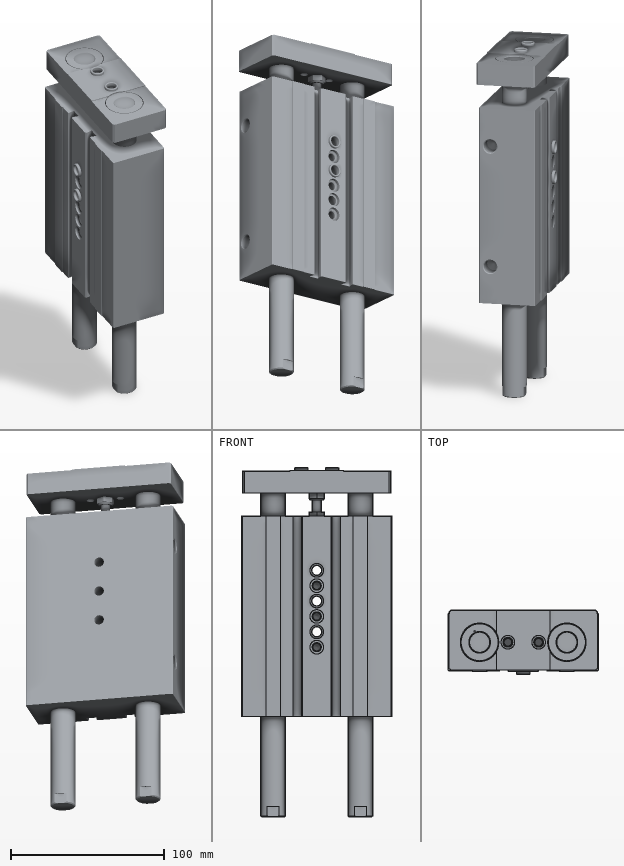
import cadquery as cq
import math


TOTAL_HEIGHT = 227.0
HOUSING_BOTTOM = 65.1
HOUSING_TOP = 195.4
PLATE_BOTTOM = 210.3
PLATE_TOP = 224.6
PLATE_BAND_TOP = 225.0

HOUSING_WIDTH = 98.0
HOUSING_BACK = 18.8
HOUSING_FRONT = -18.5
HOUSING_CHAMFER = 0.7
RAISED_FRONT = -19.0
PAD_WIDTH = 9.5

SLOT_INNER_X = 10.0
SLOT_OUTER_X = 15.5
SLOT_LIP_DEPTH = 1.4
SLOT_DEPTH = 5.0
SLOT_UNDERCUT = 0.7
SLOT_BREAK = 0.7

ROD_X = 28.4
ROD_DIAMETER = 16.0
ROD_TIP_CHAMFER = 0.7
WRENCH_FLAT_WIDTH = 14.0
WRENCH_FLAT_HEIGHT = 6.5
HEAD_DIAMETER = 24.0
HEAD_RECESS_DIAMETER = 25.0
HEAD_HEIGHT = 6.0
DIMPLE_DIAMETER = 14.0
DIMPLE_DEPTH = 0.5

PLATE_WIDTH = 96.2
PLATE_BACK = 20.9
PLATE_FRONT = -18.2
PLATE_CHAMFER = 1.1
PLATE_BAND_WIDTH = 35.0
DRIVE_ROD_DIAMETER = 6.0
HEX_ACROSS_FLATS = 10.0
NUT_HEIGHT = 3.5
NUT_NOSE_HEIGHT = 1.1
NUT_NOSE_DIAMETER = 8.6
WRENCH_HEX_HEIGHT = 2.7

SLEEVE_DIAMETER = 8.8
SLEEVE_PROJECTION = TOTAL_HEIGHT - PLATE_BAND_TOP
SLEEVE_SEAT_DEPTH = 2.0
SLEEVE_BORE = 6.4
PLATE_SLEEVE_X = 10.0

MOUNT_TOP_Z = 160.2
MOUNT_PITCH = 10.0
MOUNT_PAIRS = 3
HOUSING_SLEEVES = 2
THREAD_DIAMETER = 6.0
THREAD_CORE = 5.0
THREAD_DEPTH = 10.0

PORT_Y = 11.3
PORT_UPPER_Z = 170.0
PORT_LOWER_Z = 89.6
PORT_DIAMETER = 8.6
PORT_RIM_DIAMETER = 9.8
PORT_DEPTH = 10.0
DRILL_POINT_ANGLE = 118.0

SIDES = (-1, 1)
UPPER_MOUNT_Z = [MOUNT_TOP_Z - 2 * i * MOUNT_PITCH for i in range(MOUNT_PAIRS)]
UP = cq.Vector(0, 0, 1)
BACKWARD = cq.Vector(0, 1, 0)
RIGHTWARD = cq.Vector(1, 0, 0)


def box(x_min, x_max, y_min, y_max, z_min, z_max):
    """Box between the given limits."""
    corner = cq.Vector(x_min, y_min, z_min)
    return cq.Workplane(cq.Solid.makeBox(x_max - x_min, y_max - y_min, z_max - z_min, corner))


def cylinder(diameter, length, start, direction=UP):
    """Cylinder that runs from start along direction."""
    return cq.Workplane(cq.Solid.makeCylinder(diameter / 2, length, start, direction))


def cone(start_diameter, end_diameter, length, start, direction=UP):
    """Straight cone or cone frustum that runs from start along direction."""
    return cq.Workplane(
        cq.Solid.makeCone(start_diameter / 2, end_diameter / 2, length, start, direction)
    )


def blind_hole(diameter, rim_diameter, depth, start, direction):
    """Cutter for a drilled hole with a 45 degree rim and a conical bottom."""
    rim_depth = (rim_diameter - diameter) / 2
    point_length = diameter / 2 / math.tan(math.radians(DRILL_POINT_ANGLE / 2))
    bore = cylinder(diameter, depth, start, direction)
    rim = cone(rim_diameter, diameter, rim_depth, start, direction)
    point = cone(diameter, 0, point_length, start + direction * depth, direction)
    return bore.union(rim).union(point)


def hexagon(z_min, height):
    """Hexagonal prism on the drive rod axis with corners toward the front and back."""
    corner_diameter = HEX_ACROSS_FLATS / math.cos(math.pi / 6)
    prism = cq.Workplane("XY").polygon(6, corner_diameter).extrude(height)
    return prism.rotate((0, 0, 0), (0, 0, 1), 90).translate((0, 0, z_min))


def slot_cutter():
    """Undercut slot on the +X side that runs the full height of the housing."""
    lip_y = RAISED_FRONT + SLOT_LIP_DEPTH
    floor_y = RAISED_FRONT + SLOT_DEPTH
    outline = [
        (SLOT_INNER_X - SLOT_BREAK, RAISED_FRONT),
        (SLOT_INNER_X, RAISED_FRONT + SLOT_BREAK),
        (SLOT_INNER_X, lip_y),
        (SLOT_INNER_X - SLOT_UNDERCUT, floor_y),
        (SLOT_OUTER_X + SLOT_UNDERCUT, floor_y),
        (SLOT_OUTER_X, lip_y),
        (SLOT_OUTER_X, RAISED_FRONT),
    ]
    slot = cq.Workplane("XY").polyline(outline).close().extrude(HOUSING_TOP - HOUSING_BOTTOM)
    return slot.translate((0, 0, HOUSING_BOTTOM))


def raised_strip(x_min, x_max):
    """Full-height strip that stands proud of the housing front."""
    return box(x_min, x_max, RAISED_FRONT, 0, HOUSING_BOTTOM, HOUSING_TOP)


def mounting_hole_cutters():
    """Alternating through and threaded holes, each with a sleeve seat at the front."""
    cutters = []
    for upper_z in UPPER_MOUNT_Z:
        lower_z = upper_z - MOUNT_PITCH
        for z in (upper_z, lower_z):
            seat = cq.Vector(0, RAISED_FRONT, z)
            cutters.append(cylinder(SLEEVE_DIAMETER, SLEEVE_SEAT_DEPTH, seat, BACKWARD))
        through_length = HOUSING_BACK - RAISED_FRONT
        front = cq.Vector(0, RAISED_FRONT, upper_z)
        cutters.append(cylinder(SLEEVE_BORE, through_length, front, BACKWARD))
        seat_floor = cq.Vector(0, RAISED_FRONT + SLEEVE_SEAT_DEPTH, lower_z)
        cutters.append(blind_hole(THREAD_CORE, THREAD_DIAMETER, THREAD_DEPTH, seat_floor, BACKWARD))
    return cutters


def make_housing():
    half_width = HOUSING_WIDTH / 2
    body = box(-half_width, half_width, HOUSING_FRONT, HOUSING_BACK, HOUSING_BOTTOM, HOUSING_TOP)
    body = body.edges("|Z").chamfer(HOUSING_CHAMFER)
    body = body.union(raised_strip(-SLOT_INNER_X, SLOT_INNER_X))
    height = HOUSING_TOP - HOUSING_BOTTOM
    for side in SIDES:
        pad_x = side * ROD_X
        body = body.union(raised_strip(pad_x - PAD_WIDTH / 2, pad_x + PAD_WIDTH / 2))
        body = body.cut(cylinder(ROD_DIAMETER, height, cq.Vector(pad_x, 0, HOUSING_BOTTOM)))
    slot = slot_cutter()
    body = body.cut(slot).cut(slot.mirror("YZ"))
    for cutter in mounting_hole_cutters():
        body = body.cut(cutter)
    for z in (PORT_UPPER_Z, PORT_LOWER_Z):
        mouth = cq.Vector(-half_width, PORT_Y, z)
        body = body.cut(blind_hole(PORT_DIAMETER, PORT_RIM_DIAMETER, PORT_DEPTH, mouth, RIGHTWARD))
    return body


def make_drive_rod():
    """Drive rod with a nut under the plate and a wrench hexagon above the housing."""
    rod = cylinder(DRIVE_ROD_DIAMETER, PLATE_BOTTOM - HOUSING_TOP, cq.Vector(0, 0, HOUSING_TOP))
    nut_bottom = PLATE_BOTTOM - NUT_HEIGHT
    nose_start = cq.Vector(0, 0, nut_bottom)
    nose = cone(HEX_ACROSS_FLATS, NUT_NOSE_DIAMETER, NUT_NOSE_HEIGHT, nose_start, -UP)
    nut = hexagon(nut_bottom, NUT_HEIGHT).union(nose)
    return rod.union(nut).union(hexagon(HOUSING_TOP, WRENCH_HEX_HEIGHT))


def make_tool_plate():
    """Tool plate with the drive rod that carries it."""
    half_width = PLATE_WIDTH / 2
    half_band = PLATE_BAND_WIDTH / 2
    plate = box(-half_width, half_width, PLATE_FRONT, PLATE_BACK, PLATE_BOTTOM, PLATE_TOP)
    plate = plate.edges("|Z").chamfer(PLATE_CHAMFER)
    plate = plate.union(
        box(-half_band, half_band, PLATE_FRONT, PLATE_BACK, PLATE_BOTTOM, PLATE_BAND_TOP)
    )
    thickness = PLATE_BAND_TOP - PLATE_BOTTOM
    seat_z = PLATE_BAND_TOP - SLEEVE_SEAT_DEPTH
    thread_rim = (THREAD_DIAMETER - THREAD_CORE) / 2
    for side in SIDES:
        rod_x = side * ROD_X
        head_bottom = cq.Vector(rod_x, 0, PLATE_TOP - HEAD_HEIGHT)
        plate = plate.cut(cylinder(ROD_DIAMETER, thickness, cq.Vector(rod_x, 0, PLATE_BOTTOM)))
        plate = plate.cut(cylinder(HEAD_RECESS_DIAMETER, thickness, head_bottom))
        sleeve_x = side * PLATE_SLEEVE_X
        seat = cq.Vector(sleeve_x, 0, seat_z)
        plate = plate.cut(cylinder(SLEEVE_DIAMETER, SLEEVE_SEAT_DEPTH, seat))
        plate = plate.cut(cylinder(THREAD_CORE, thickness, cq.Vector(sleeve_x, 0, PLATE_BOTTOM)))
        plate = plate.cut(cone(THREAD_DIAMETER, THREAD_CORE, thread_rim, seat, -UP))
    return plate.union(make_drive_rod())


def make_guide_rod(x):
    """Guide rod with a wrench flat on the front and back of its tip and a head in the plate."""
    rod = cylinder(ROD_DIAMETER, PLATE_TOP, cq.Vector(x, 0, 0)).faces("<Z").chamfer(ROD_TIP_CHAMFER)
    radius = ROD_DIAMETER / 2
    flat_y = WRENCH_FLAT_WIDTH / 2
    rod = rod.cut(box(x - radius, x + radius, flat_y, radius, 0, WRENCH_FLAT_HEIGHT))
    rod = rod.cut(box(x - radius, x + radius, -radius, -flat_y, 0, WRENCH_FLAT_HEIGHT))
    head = cylinder(HEAD_DIAMETER, HEAD_HEIGHT, cq.Vector(x, 0, PLATE_TOP - HEAD_HEIGHT))
    dimple_floor = DIMPLE_DIAMETER - 2 * DIMPLE_DEPTH
    dimple = cone(DIMPLE_DIAMETER, dimple_floor, DIMPLE_DEPTH, cq.Vector(x, 0, PLATE_TOP), -UP)
    return rod.union(head).cut(dimple)


def make_sleeve(seat, direction):
    """Centring sleeve with a rounded rim that stands on its seat and projects along direction."""
    length = SLEEVE_SEAT_DEPTH + SLEEVE_PROJECTION
    radius = SLEEVE_DIAMETER / 2
    bore_radius = SLEEVE_BORE / 2
    rim_radius = (radius - bore_radius) / 2
    shoulder = length - rim_radius
    plane = cq.Plane(origin=seat, xDir=RIGHTWARD, normal=RIGHTWARD.cross(direction))
    section = (
        cq.Workplane(plane)
        .moveTo(bore_radius, 0)
        .lineTo(radius, 0)
        .lineTo(radius, shoulder)
        .threePointArc((bore_radius + rim_radius, length), (bore_radius, shoulder))
        .close()
    )
    return section.revolve(360, (0, 0), (0, 1))


housing = make_housing()
tool_plate = make_tool_plate()
guide_rods = [make_guide_rod(side * ROD_X).val() for side in SIDES]

plate_sleeves = []
for side in SIDES:
    plate_seat = cq.Vector(side * PLATE_SLEEVE_X, 0, PLATE_BAND_TOP - SLEEVE_SEAT_DEPTH)
    plate_sleeves.append(make_sleeve(plate_seat, UP).val())

housing_sleeves = []
for sleeve_z in UPPER_MOUNT_Z[:HOUSING_SLEEVES]:
    housing_seat = cq.Vector(0, RAISED_FRONT + SLEEVE_SEAT_DEPTH, sleeve_z)
    housing_sleeves.append(make_sleeve(housing_seat, -BACKWARD).val())

result = cq.Compound.makeCompound(
    [housing.val(), tool_plate.val(), *guide_rods, *plate_sleeves, *housing_sleeves]
)